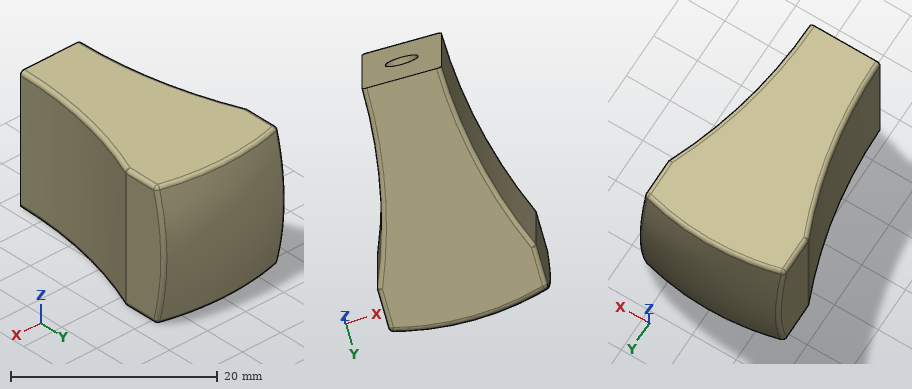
import cadquery as cq
import math

length = 26.0
head_width = 16.0
height = head_width
base_width = head_width / 2
shoulder_y = 19.5
flank_radius = 50.0
dome_radius = 30.0
edge_radius = 0.5

hole_diameter = 3.3
hole_depth = 10.0
drill_tip_angle = 118.0


def flank_midpoint():
    """Point halfway along the concave flank on the +X side."""
    run_x = (head_width - base_width) / 2
    chord = math.hypot(run_x, shoulder_y)
    sag = flank_radius - math.sqrt(flank_radius**2 - (chord / 2) ** 2)
    middle_x = (head_width + base_width) / 4
    return (middle_x - sag * shoulder_y / chord, shoulder_y / 2 + sag * run_x / chord)


def knob_body():
    """Flared prism capped by a spherical dome, with all edges rounded except at the base."""
    middle_x, middle_y = flank_midpoint()
    prism = (
        cq.Workplane("XY")
        .workplane(offset=-height / 2)
        .moveTo(-base_width / 2, 0)
        .lineTo(base_width / 2, 0)
        .threePointArc((middle_x, middle_y), (head_width / 2, shoulder_y))
        .lineTo(head_width / 2, length)
        .lineTo(-head_width / 2, length)
        .lineTo(-head_width / 2, shoulder_y)
        .threePointArc((-middle_x, middle_y), (-base_width / 2, 0))
        .close()
        .extrude(height)
    )
    dome = cq.Workplane("XY").sphere(dome_radius).translate((0, length - dome_radius, 0))
    return prism.intersect(dome).edges("not(<Y)").fillet(edge_radius)


def drilled_hole():
    """Half profile of the drill, revolved about the Y axis."""
    radius = hole_diameter / 2
    tip_length = radius / math.tan(math.radians(drill_tip_angle / 2))
    return (
        cq.Workplane("XY")
        .lineTo(radius, 0)
        .lineTo(radius, hole_depth)
        .lineTo(0, hole_depth + tip_length)
        .close()
        .revolve(360, (0, 0, 0), (0, 1, 0))
    )


result = knob_body().cut(drilled_hole())